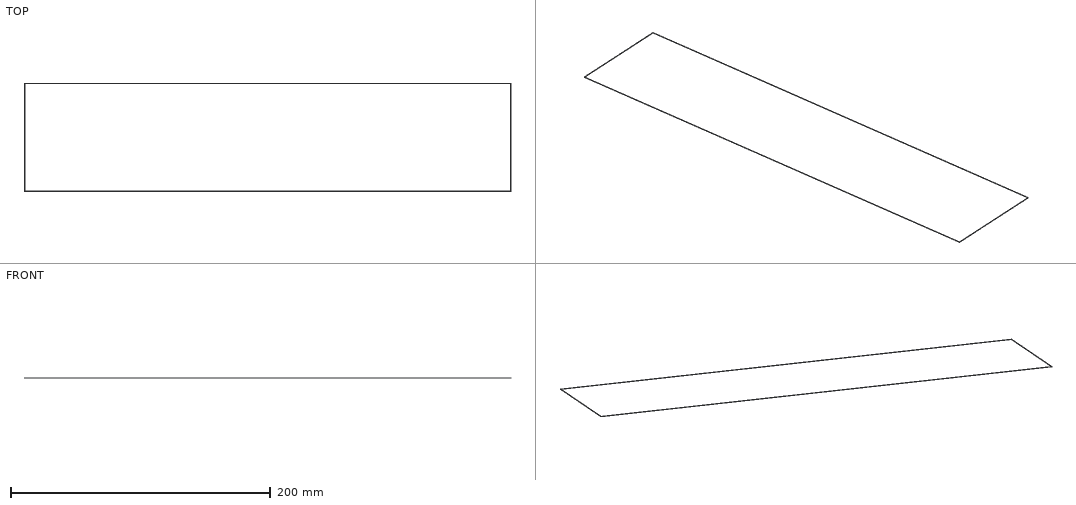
import cadquery as cq

plate_length = 375.0
plate_width = 83.3
plate_thickness = 0.1

result = cq.Workplane("XY").box(
    plate_length,
    plate_width,
    plate_thickness,
    centered=(True, True, False),
)